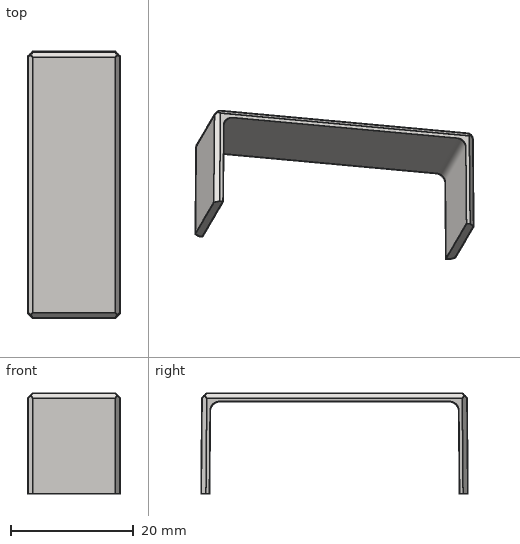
import cadquery as cq
import math

WIDTH = 15.0
TOP_LENGTH = 43.2
HEIGHT = 16.4
WALL = 1.4
SPLAY_ANGLE = 0.5
CHAMFER = 0.8
INNER_RADIUS = 1.5


def splay_at(depth):
    """Outward shift of a leg at a given depth below the top face."""
    return depth * math.tan(math.radians(SPLAY_ANGLE))


def trapezoid_block(half_length_top, z_top, half_length_bottom):
    """Full-width block standing on Z = 0 with ends that lean outward."""
    return (
        cq.Workplane("YZ")
        .polyline([
            (-half_length_bottom, 0),
            (half_length_bottom, 0),
            (half_length_top, z_top),
            (-half_length_top, z_top),
        ])
        .close()
        .extrude(WIDTH / 2, both=True)
    )


def outer_body():
    """Solid envelope, chamfered everywhere but at the feet.

    Each set of edges is chamfered on its own copy of the block, and the copies
    are intersected, so the three chamfers at a corner meet in a single point.
    """
    half_top = TOP_LENGTH / 2
    block = trapezoid_block(half_top, HEIGHT, half_top + splay_at(HEIGHT))
    long_edges_cut = block.faces(">Z").edges("|Y").chamfer(CHAMFER)
    end_edges_cut = block.faces(">Z").edges("|X").chamfer(CHAMFER)
    leg_edges_cut = block.edges("not(|X or |Y)").chamfer(CHAMFER)
    return long_edges_cut.intersect(end_edges_cut).intersect(leg_edges_cut)


def inner_opening():
    """Space between the legs, rounded in its two upper corners."""
    leg_thickness_in_y = WALL / math.cos(math.radians(SPLAY_ANGLE))
    half_inner = TOP_LENGTH / 2 - leg_thickness_in_y
    block = trapezoid_block(
        half_inner + splay_at(WALL),
        HEIGHT - WALL,
        half_inner + splay_at(HEIGHT),
    )
    return block.faces(">Z").edges("|X").fillet(INNER_RADIUS)


result = outer_body().cut(inner_opening())